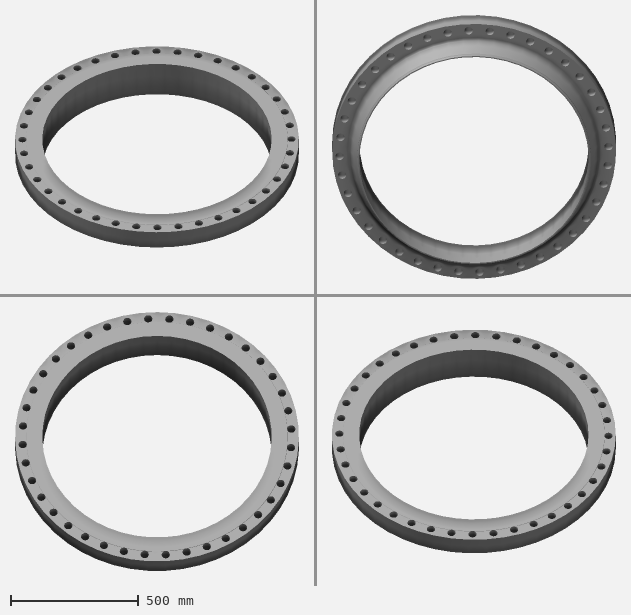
import cadquery as cq

outer_radius = 556.0
bore_radius = 449.0
total_height = 157.0
flange_thickness = 80.0

face_radius = 511.0
face_slope_run = 1.0
face_height = 1.0

hub_top_radius = 488.0
hub_end_radius = 458.0
lip_height = 13.0
hub_fillet = 12.0
lip_chamfer = 5.0

bolt_count = 40
bolt_circle_radius = 527.0
bolt_hole_diameter = 32.0

flange_bottom = total_height - flange_thickness
rim_top = total_height - face_height


def ring_body():
    """Revolve the radial section of flange, raised face and hub."""
    section = (
        cq.Workplane("XZ")
        .moveTo(bore_radius, 0)
        .lineTo(hub_end_radius - lip_chamfer, 0)
        .lineTo(hub_end_radius, lip_chamfer)
        .lineTo(hub_end_radius, lip_height)
        .lineTo(hub_top_radius, flange_bottom)
        .lineTo(outer_radius, flange_bottom)
        .lineTo(outer_radius, rim_top)
        .lineTo(face_radius + face_slope_run, rim_top)
        .lineTo(face_radius, total_height)
        .lineTo(bore_radius, total_height)
        .close()
    )
    return section.revolve(360, (0, 0, 0), (0, 1, 0))


def round_hub_root(body):
    """Blend the hub into the underside of the flange."""
    root_zone = cq.selectors.BoxSelector(
        (-outer_radius, -outer_radius, flange_bottom - hub_fillet),
        (outer_radius, outer_radius, flange_bottom + hub_fillet),
    )
    rings = body.edges("%CIRCLE").edges(root_zone)
    smallest_ring = cq.selectors.RadiusNthSelector(0)
    return rings.edges(smallest_ring).fillet(hub_fillet)


def bolt_holes():
    """Cylinders for the full circle of through bolt holes."""
    return (
        cq.Workplane("XY")
        .polarArray(bolt_circle_radius, 0, 360, bolt_count)
        .circle(bolt_hole_diameter / 2)
        .extrude(total_height)
    )


result = round_hub_root(ring_body()).cut(bolt_holes())